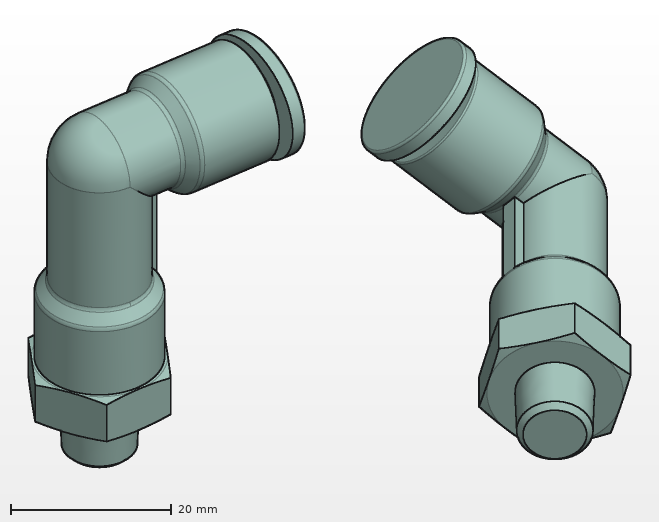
import cadquery as cq
import math

thread_tip_radius = 4.75
thread_root_radius = 5.0
thread_length = 8.05
thread_chamfer = 0.8
hex_flats = 17.0
hex_height = 6.4
hex_chamfer_angle = 15

tube_radius = 6.55
socket_radius = 8.15
shoulder_run = 1.9
shoulder_fillet = 0.9
total_height = 52.95
leg_shoulder_top = 26.6
arm_shoulder_start = 8.05
arm_socket_end = 21.8
socket_rim_fillet = 0.2
web_width = 2.0
web_reach = 8.05

neck_radius = 5.9
neck_length = 1.15
button_width = 18.5
button_height = 16.05
button_rim_fillet = 0.3
arm_end = 25.0

hex_top = thread_length + hex_height
hex_corner_diameter = hex_flats / math.cos(math.radians(30))
arm_axis_height = total_height - socket_radius
button_start = arm_socket_end + neck_length


def turn(profile):
    """Solid of revolution about Z from (radius, height) points."""
    return cq.Workplane("XZ").polyline(profile).close().revolve(360, (0, 0, 0), (0, 1, 0))


def make_stud():
    """Tapered stud, narrowing downwards to a chamfered tip."""
    tip_flat_radius = thread_tip_radius - thread_chamfer
    profile = [
        (0, 0),
        (tip_flat_radius, 0),
        (thread_tip_radius, thread_chamfer),
        (thread_root_radius, thread_length),
        (0, thread_length),
    ]
    return turn(profile)


def make_hexagon():
    """Hexagon with corners on the Y axis, both ends turned down by a shallow cone."""
    hexagon = (
        cq.Workplane("XY", origin=(0, 0, thread_length))
        .transformed(rotate=(0, 0, 90))
        .polygon(6, hex_corner_diameter)
        .extrude(hex_height)
    )
    flat_radius = hex_flats / 2
    cone_radius = hex_corner_diameter / 2
    cone_drop = (cone_radius - flat_radius) * math.tan(math.radians(hex_chamfer_angle))
    profile = [
        (0, thread_length),
        (flat_radius, thread_length),
        (cone_radius, thread_length + cone_drop),
        (cone_radius, hex_top - cone_drop),
        (flat_radius, hex_top),
        (0, hex_top),
    ]
    return hexagon.intersect(turn(profile))


def make_branch(shoulder_distance, socket_distance):
    """Tube rising from the origin along Z, widening to a socket through a blended cone."""
    shoulder_end = shoulder_distance + shoulder_run
    profile = [
        (0, 0),
        (tube_radius, 0),
        (tube_radius, shoulder_distance),
        (socket_radius, shoulder_end),
        (socket_radius, socket_distance),
        (0, socket_distance),
    ]
    branch = turn(profile)
    margin = shoulder_run / 2
    shoulder_zone = cq.selectors.BoxSelector(
        (-socket_radius, -socket_radius, shoulder_distance - margin),
        (socket_radius, socket_radius, shoulder_end + margin),
    )
    return branch.edges("%CIRCLE").edges(shoulder_zone).fillet(shoulder_fillet)


def make_elbow():
    """Leg pointing down and arm pointing along +Y, joined by a ball at the corner."""
    leg = make_branch(arm_axis_height - leg_shoulder_top, arm_axis_height - hex_top)
    leg = leg.rotate((0, 0, 0), (1, 0, 0), 180)
    arm = make_branch(arm_shoulder_start, arm_socket_end).faces(">Z").edges().fillet(socket_rim_fillet)
    arm = arm.rotate((0, 0, 0), (1, 0, 0), -90)
    corner = cq.Workplane("XY").sphere(tube_radius)
    return leg.union(arm).union(corner).translate((0, 0, arm_axis_height))


def make_web():
    """Flat rib in the inner corner of the elbow, between the leg and the arm."""
    web_bottom = leg_shoulder_top - shoulder_run
    return cq.Workplane("XY", origin=(0, 0, web_bottom)).box(
        web_width, web_reach, arm_axis_height - web_bottom, centered=(True, False, False)
    )


def make_button():
    """Round neck and oval push plate; the XZ plane faces -Y, so lengths along +Y are negative."""
    neck = (
        cq.Workplane("XZ", origin=(0, arm_socket_end, arm_axis_height))
        .circle(neck_radius)
        .extrude(-neck_length)
    )
    plate = (
        cq.Workplane("XZ", origin=(0, button_start, arm_axis_height))
        .ellipse(button_width / 2, button_height / 2)
        .extrude(button_start - arm_end)
        .faces(">Y")
        .edges()
        .fillet(button_rim_fillet)
    )
    return neck.union(plate)


result = make_stud().union(make_hexagon()).union(make_elbow()).union(make_web()).union(make_button())